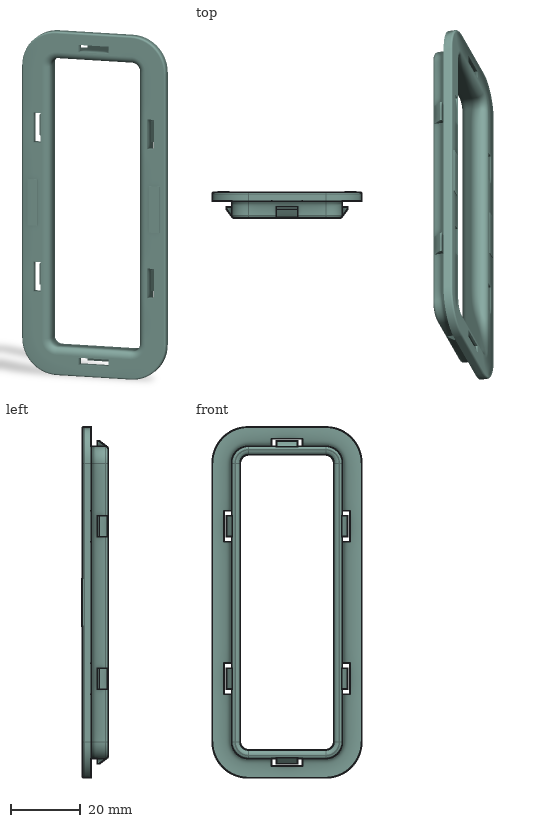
import cadquery as cq

LENGTH = 101.0
WIDTH = 43.0
DEPTH = 7.7
PAD_HEIGHT = 0.2

FLANGE_THICKNESS = 2.5
FLANGE_RADIUS = 10.4
BACK_EDGE_FILLET = 0.5
OPENING_FRONT_FILLET = 1.5
OPENING_BACK_FILLET = 2.0

FLANGE_RIM = 5.6
COLLAR_WALL = 2.5
COLLAR_OUTER_FILLET = 0.9

TAB_WIDTH = 6.1
TAB_REACH = 1.5
TAB_HEIGHT = 3.2
TAB_TIP = 0.6
TAB_FOOT_HEIGHT = 0.3
TAB_FOOT_INSET = 0.2
TAB_ROOT = 1.2
WINDOW_WIDTH = 8.9
WINDOW_REACH = 2.1
SIDE_TAB_Z = 21.9

PAD_LENGTH = 13.6
PAD_WIDTH = 3.0

FRONT_Y = -DEPTH / 2
BACK_Y = DEPTH / 2 - PAD_HEIGHT
FLANGE_Y = BACK_Y - FLANGE_THICKNESS
COLLAR_HALF_X = WIDTH / 2 - FLANGE_RIM
COLLAR_HALF_Z = LENGTH / 2 - FLANGE_RIM


def rounded_block(inset, front_y, back_y):
    """Block between two Y levels, its outline set in from the flange edge."""
    return (
        cq.Workplane("XZ", origin=(0, back_y, 0))
        .rect(WIDTH - 2 * inset, LENGTH - 2 * inset)
        .extrude(back_y - front_y)
        .edges("|Y")
        .fillet(FLANGE_RADIUS - inset)
    )


def make_frame():
    """Flange and collar with the through opening and all its rounded edges."""
    flange = rounded_block(0, FLANGE_Y, BACK_Y).faces(">Y").edges().fillet(BACK_EDGE_FILLET)
    collar = rounded_block(FLANGE_RIM, FRONT_Y, BACK_Y).faces("<Y").edges().fillet(COLLAR_OUTER_FILLET)
    opening = rounded_block(FLANGE_RIM + COLLAR_WALL, FRONT_Y, BACK_Y)
    frame = flange.union(collar).cut(opening)

    front_edge = frame.faces("<Y").val().innerWires()[0].Edges()
    frame = frame.newObject(front_edge).fillet(OPENING_FRONT_FILLET)
    back_edge = frame.faces(">Y").val().innerWires()[0].Edges()
    return frame.newObject(back_edge).fillet(OPENING_BACK_FILLET)


def snap_tab(wall_distance):
    """Wedge on the +X collar wall, centred on Z = 0."""
    catch_y = FRONT_Y + TAB_HEIGHT
    foot_y = FRONT_Y + TAB_FOOT_HEIGHT
    return (
        cq.Workplane("XY", origin=(wall_distance, 0, 0))
        .moveTo(-TAB_ROOT, catch_y)
        .lineTo(TAB_REACH, catch_y)
        .lineTo(TAB_REACH, catch_y - TAB_TIP)
        .lineTo(-TAB_FOOT_INSET, foot_y)
        .lineTo(-TAB_ROOT, foot_y)
        .close()
        .extrude(TAB_WIDTH / 2, both=True)
    )


def window(wall_distance):
    """Flange window next to the +X collar wall, centred on Z = 0."""
    return (
        cq.Workplane("XZ", origin=(wall_distance + WINDOW_REACH / 2, BACK_Y, 0))
        .rect(WINDOW_REACH, WINDOW_WIDTH)
        .extrude(FLANGE_THICKNESS)
    )


def back_pad(side):
    """Raised pad midway across the flat back of one long flange side (-1 or +1)."""
    flat_outer_x = WIDTH / 2 - BACK_EDGE_FILLET
    flat_inner_x = COLLAR_HALF_X - COLLAR_WALL + OPENING_BACK_FILLET
    return (
        cq.Workplane("XZ", origin=(side * (flat_outer_x + flat_inner_x) / 2, BACK_Y + PAD_HEIGHT, 0))
        .rect(PAD_WIDTH, PAD_LENGTH)
        .extrude(PAD_HEIGHT)
    )


def place(shape, angle, shift_z):
    """Turn a +X wall feature about the Y axis, then slide it along Z."""
    return shape.rotate((0, 0, 0), (0, 1, 0), angle).translate((0, 0, shift_z))


tab_places = [(90, COLLAR_HALF_Z, 0), (-90, COLLAR_HALF_Z, 0)]
for side_angle in (0, 180):
    for side_z in (-SIDE_TAB_Z, SIDE_TAB_Z):
        tab_places.append((side_angle, COLLAR_HALF_X, side_z))

result = make_frame()
for turn, distance, z_shift in tab_places:
    result = result.cut(place(window(distance), turn, z_shift))
    result = result.union(place(snap_tab(distance), turn, z_shift))
for pad_side in (-1, 1):
    result = result.union(back_pad(pad_side))